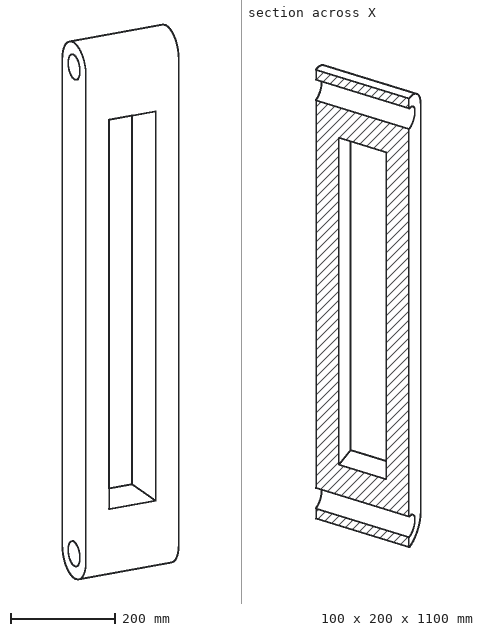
import cadquery as cq

length = 1100.0
width = 100.0
depth = 2 * width
hole_diameter = 50.0
window_length = 800.0
window_width = depth / 2

hole_spacing = length - width


def link_body():
    """Bar with full-round ends, extruded symmetrically along Y."""
    return cq.Workplane("XZ").slot2D(length, width, 90).extrude(depth / 2, both=True)


def pin_holes():
    """Cylinders along Y for the holes through both ends."""
    return (
        cq.Workplane("XZ")
        .pushPoints([(0, -hole_spacing / 2), (0, hole_spacing / 2)])
        .circle(hole_diameter / 2)
        .extrude(depth / 2, both=True)
    )


def window():
    """Rectangular opening through the bar along X."""
    return cq.Workplane("XY").box(width, window_width, window_length)


result = link_body().cut(pin_holes()).cut(window())